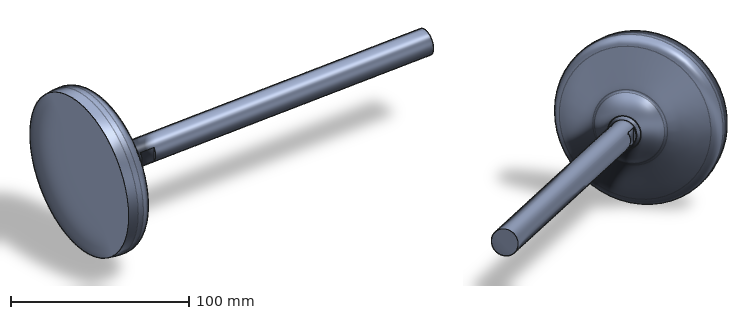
import cadquery as cq
import math


foot_radius = 50.0
sole_radius = 49.2
taper_height = 6.0
rim_top = 9.5
shoulder_radius = 7.5
shoulder_lean = math.radians(4)
cone_angle = math.radians(20)
dome_radius = 25.8
dome_center = 10.2
dome_top = 34.0
blend_radius = 3.0

total_height = 235.0
thread_radius = 8.0
collar_height = 1.7
flat_width = 13.0
flat_bottom = 37.2
flat_length = 9.2


def make_foot():
    """Disc with tapered rim, conical upper side and domed hub, revolved about Y."""
    cone_sin = math.sin(cone_angle)
    cone_cos = math.cos(cone_angle)

    shoulder_x = foot_radius - shoulder_radius * math.cos(shoulder_lean)
    shoulder_y = rim_top - shoulder_radius * math.sin(shoulder_lean)
    mid_angle = (shoulder_lean + math.pi / 2 - cone_angle) / 2
    shoulder_mid = (
        shoulder_x + shoulder_radius * math.cos(mid_angle),
        shoulder_y + shoulder_radius * math.sin(mid_angle),
    )
    cone_start = (
        shoulder_x + shoulder_radius * cone_sin,
        shoulder_y + shoulder_radius * cone_cos,
    )

    cone_offset = cone_start[0] * cone_sin + (cone_start[1] - dome_center) * cone_cos
    normal_reach = cone_offset + blend_radius
    slope_reach = math.sqrt((dome_radius + blend_radius) ** 2 - normal_reach**2)
    blend_x = normal_reach * cone_sin + slope_reach * cone_cos
    blend_y = dome_center + normal_reach * cone_cos - slope_reach * cone_sin
    cone_end = (blend_x - blend_radius * cone_sin, blend_y - blend_radius * cone_cos)

    to_dome = math.atan2(dome_center - blend_y, -blend_x)
    to_cone = math.atan2(-cone_cos, -cone_sin)
    blend_mid_angle = (to_dome + to_cone) / 2
    blend_mid = (
        blend_x + blend_radius * math.cos(blend_mid_angle),
        blend_y + blend_radius * math.sin(blend_mid_angle),
    )
    blend_end = (
        blend_x + blend_radius * math.cos(to_dome),
        blend_y + blend_radius * math.sin(to_dome),
    )

    seat_angle = math.asin((dome_top - dome_center) / dome_radius)
    seat_radius = dome_radius * math.cos(seat_angle)
    dome_mid_angle = (to_dome + math.pi + seat_angle) / 2
    dome_mid = (
        dome_radius * math.cos(dome_mid_angle),
        dome_center + dome_radius * math.sin(dome_mid_angle),
    )

    profile = (
        cq.Workplane("XY")
        .moveTo(0, 0)
        .lineTo(sole_radius, 0)
        .lineTo(foot_radius, taper_height)
        .lineTo(foot_radius, rim_top)
        .threePointArc(shoulder_mid, cone_start)
        .lineTo(*cone_end)
        .threePointArc(blend_mid, blend_end)
        .threePointArc(dome_mid, (seat_radius, dome_top))
        .lineTo(0, dome_top)
        .close()
    )
    return profile.revolve(360, (0, 0, 0), (0, 1, 0))


def make_spindle():
    """Round rod with a flared end on the seat and two wrench flats facing +X and -X."""
    collar_radius = thread_radius + collar_height
    rod = (
        cq.Workplane("XY")
        .moveTo(0, dome_top)
        .lineTo(collar_radius, dome_top)
        .lineTo(thread_radius, dome_top + collar_height)
        .lineTo(thread_radius, total_height)
        .lineTo(0, total_height)
        .close()
        .revolve(360, (0, 0, 0), (0, 1, 0))
    )
    flat_depth = thread_radius - flat_width / 2
    cutter_x = flat_width / 2 + flat_depth / 2
    cutter_y = flat_bottom + flat_length / 2
    for side in (-1, 1):
        cutter = (
            cq.Workplane("XY")
            .box(flat_depth, flat_length, 2 * thread_radius)
            .translate((side * cutter_x, cutter_y, 0))
        )
        rod = rod.cut(cutter)
    return rod


foot = make_foot()
spindle = make_spindle()

result = cq.Compound.makeCompound([foot.val(), spindle.val()])